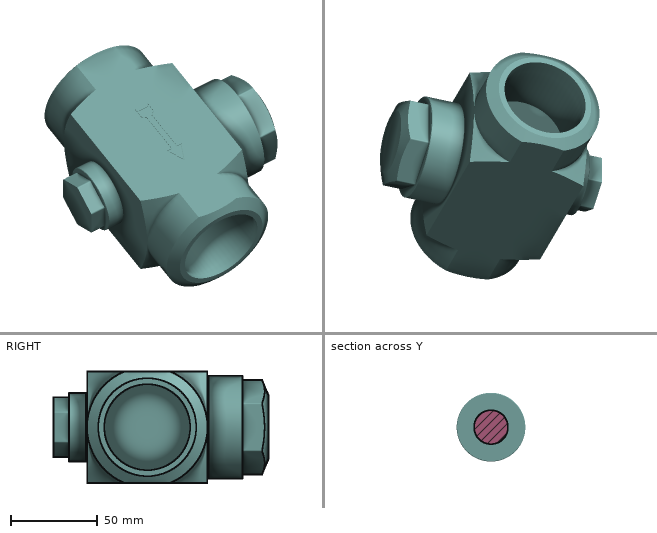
import cadquery as cq
import math

LENGTH = 140.0
PIPE_DIAMETER = 70.0
BORE_DIAMETER = 50.0
BORE_DEPTH = 40.0
END_CHAMFER_LENGTH = 4.0
END_FACE_DIAMETER = 57.0

HEIGHT = 65.0
BLOCK_LENGTH = 90.0
BLOCK_CONE_ANGLE = 30.0
CONE_CLEARANCE = 2.0

BONNET_DIAMETER = 60.0
BONNET_NECK_DIAMETER = 24.0
BONNET_COLLAR_END = 55.5
BONNET_HEX_FLATS = 48.0
BONNET_END = 70.5
BONNET_TOP_DIAMETER = 37.0
BONNET_CONE_ANGLE = 22.5

PLUG_DIAMETER = 40.0
PLUG_NECK_DIAMETER = 20.0
PLUG_COLLAR_END = 45.5
PLUG_HEX_FLATS = 30.5
PLUG_END = 54.5

COLLAR_GAP = 0.4
COLLAR_CHAMFER = 0.3
HEX_SIDES = 6
HEX_HALF_ANGLE = 180.0 / HEX_SIDES
HEX_CORNER_RADIUS = 1.0

ARROW_TAIL_X = -21.0
ARROW_NOTCH_X = -18.5
ARROW_FEATHER_X = -13.5
ARROW_SHAFT_X = -11.5
ARROW_HEAD_X = 15.0
ARROW_TIP_X = 26.5
ARROW_Y = 2.6
ARROW_FEATHER_HALF_WIDTH = 4.4
ARROW_NOTCH_HALF_WIDTH = 3.2
ARROW_SHAFT_HALF_WIDTH = 2.0
ARROW_HEAD_HALF_WIDTH = 5.0
ARROW_LINE_WIDTH = 0.4
ARROW_DEPTH = 0.2


def turned_about_x(length, middle_radius, end_radius, taper_length):
    """Cylinder about X, centred on the origin, tapering to end_radius at both ends."""
    end_x = length / 2
    shoulder_x = end_x - taper_length
    profile = [
        (-end_x, 0),
        (-end_x, end_radius),
        (-shoulder_x, middle_radius),
        (shoulder_x, middle_radius),
        (end_x, end_radius),
        (end_x, 0),
    ]
    return cq.Workplane("XY").polyline(profile).close().revolve(360, (0, 0, 0), (1, 0, 0))


def pipe():
    """Round pipe with chamfered ends, flattened to the block height."""
    cylinder = turned_about_x(LENGTH, PIPE_DIAMETER / 2, END_FACE_DIAMETER / 2, END_CHAMFER_LENGTH)
    return cylinder.intersect(cq.Workplane("XY").box(LENGTH, PIPE_DIAMETER, HEIGHT))


def block():
    """Square block with its end corners trimmed by cones that start at the pipe surface."""
    pipe_radius = PIPE_DIAMETER / 2
    envelope_radius = math.hypot(pipe_radius, HEIGHT / 2) + CONE_CLEARANCE
    cone_length = (envelope_radius - pipe_radius) * math.tan(math.radians(BLOCK_CONE_ANGLE))
    envelope = turned_about_x(BLOCK_LENGTH, envelope_radius, pipe_radius, cone_length)
    return cq.Workplane("XY").box(BLOCK_LENGTH, PIPE_DIAMETER, HEIGHT).intersect(envelope)


def bores():
    """Blind bore in each pipe end."""
    floor_x = LENGTH / 2 - BORE_DEPTH
    bore = cq.Workplane("YZ", origin=(floor_x, 0, 0)).circle(BORE_DIAMETER / 2).extrude(BORE_DEPTH)
    return bore.union(bore.mirror("YZ"))


def disc(diameter, start, end):
    """Round disc about Y, from start to end toward -Y."""
    return cq.Workplane("XZ", origin=(0, -start, 0)).circle(diameter / 2).extrude(end - start)


def necked_collar(diameter, neck_diameter, end):
    """Collar with chamfered rims, held just off the -Y face of the block by a narrower neck."""
    block_face = PIPE_DIAMETER / 2
    collar_start = block_face + COLLAR_GAP
    neck = disc(neck_diameter, block_face, collar_start)
    collar = disc(diameter, collar_start, end).edges("%CIRCLE").chamfer(COLLAR_CHAMFER)
    return neck.union(collar)


def hexagon(flats, start, end):
    """Hexagonal prism toward -Y with two corners on the Z axis, all corners rounded."""
    sharp_corners = flats / math.cos(math.radians(HEX_HALF_ANGLE))
    base = cq.Workplane("XZ", origin=(0, -start, 0))
    prism = base.polygon(HEX_SIDES, sharp_corners).extrude(end - start)
    prism = prism.rotate((0, 0, 0), (0, 1, 0), HEX_HALF_ANGLE)
    return prism.edges("|Y").fillet(HEX_CORNER_RADIUS)


def plug():
    """Collar and plain hexagon on the -Y side."""
    collar = necked_collar(PLUG_DIAMETER, PLUG_NECK_DIAMETER, PLUG_COLLAR_END)
    return collar.union(hexagon(PLUG_HEX_FLATS, PLUG_COLLAR_END, PLUG_END))


def bonnet():
    """Collar and conical-topped hexagon, built toward -Y and mirrored to the +Y side."""
    head = hexagon(BONNET_HEX_FLATS, BONNET_COLLAR_END, BONNET_END)
    top_radius = BONNET_TOP_DIAMETER / 2
    rim_radius = BONNET_DIAMETER / 2
    cone_height = (rim_radius - top_radius) * math.tan(math.radians(BONNET_CONE_ANGLE))
    envelope = (
        cq.Workplane("XY")
        .moveTo(0, -BONNET_END)
        .lineTo(top_radius, -BONNET_END)
        .lineTo(rim_radius, cone_height - BONNET_END)
        .lineTo(rim_radius, 0)
        .lineTo(0, 0)
        .close()
        .revolve(360, (0, 0, 0), (0, 1, 0))
    )
    collar = necked_collar(BONNET_DIAMETER, BONNET_NECK_DIAMETER, BONNET_COLLAR_END)
    return collar.union(head.intersect(envelope)).mirror("XZ")


def arrow_groove():
    """Groove along the outline of an arrow that points toward +X."""
    upper = [
        (ARROW_NOTCH_X, ARROW_NOTCH_HALF_WIDTH),
        (ARROW_TAIL_X, ARROW_FEATHER_HALF_WIDTH),
        (ARROW_FEATHER_X, ARROW_FEATHER_HALF_WIDTH),
        (ARROW_SHAFT_X, ARROW_SHAFT_HALF_WIDTH),
        (ARROW_HEAD_X, ARROW_SHAFT_HALF_WIDTH),
        (ARROW_HEAD_X, ARROW_HEAD_HALF_WIDTH),
    ]
    lower = [(x, -y) for x, y in reversed(upper)]
    outline = upper + [(ARROW_TIP_X, 0)] + lower
    floor = cq.Workplane("XY", origin=(0, ARROW_Y, HEIGHT / 2 - ARROW_DEPTH))
    outer = floor.polyline(outline).close().extrude(ARROW_DEPTH)
    inner = floor.polyline(outline).close().offset2D(-ARROW_LINE_WIDTH).extrude(ARROW_DEPTH)
    return outer.cut(inner)


result = pipe().union(block()).union(bonnet()).union(plug()).cut(bores()).cut(arrow_groove())